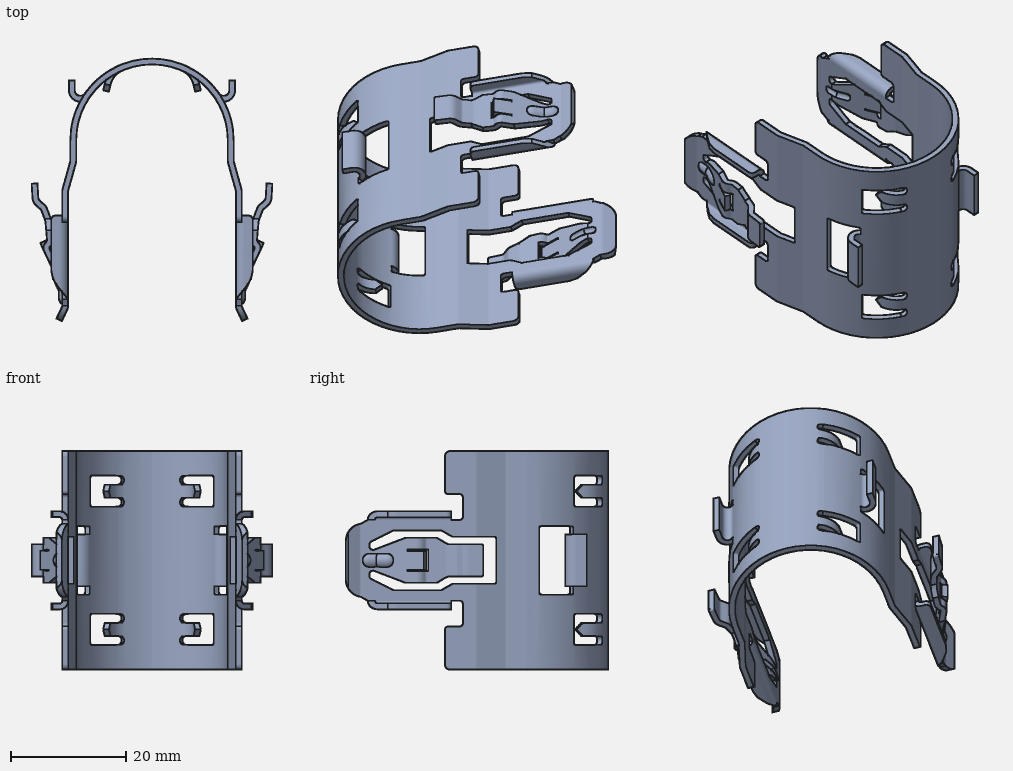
import cadquery as cq
import math


SHEET = 1.05
BACK_OUTER_R = 14.2
BACK_INNER_R = BACK_OUTER_R - SHEET
BACK_MID_R = BACK_OUTER_R - SHEET / 2
HEIGHT = 38.0
TOTAL_DEPTH = 45.61
FRONT_END = BACK_OUTER_R - TOTAL_DEPTH
REACH = 30.0
OVERLAP = 0.5

WALL_X = 15.095
STEP_START = -3.7
STEP_END = -8.8
STEP_BEND_R = 0.8
LIP_START = -29.0
LIP_ANGLE = math.radians(25)
LIP_BEND_R = 1.0

WING_END = -14.2
WING_CORNER_R = 0.95
NOTCH_BOTTOM = -11.06
NOTCH_TOP_Z = 11.48
NOTCH_CORNER_R = 0.6
LEG_HALF = 7.025
LEG_TAPER_START = -27.6
LIP_TIP_HALF = 3.3
LIP_CORNER_Y = -28.78
LIP_CORNER_Z = 6.37
LIP_CORNER_R = 3.1

FLANGE_START = -13.06
FLANGE_EDGE_X = 17.54
FLANGE_BEND_R = 1.0
FLANGE_CORNER_R = 0.8
FLANGE_TAPER_START = -22.55
FLANGE_TAPER_MID = (17.2, -24.1)
FLANGE_TAPER_END = (16.1, -25.75)

SLOT_BACK = -5.3
SLOT_NARROW_HALF = 4.06
SLOT_WIDE_HALF = 5.17
SLOT_CORNER_R = 0.25
SLOT_WIDENING = (-12.85, -14.8)
SLOT_TAPER_START = -23.1
SLOT_FRONT = -27.25
SLOT_FRONT_OUTER_Z = 3.1
SLOT_FRONT_INNER_Z = 1.95
SLOT_FRONT_R = 0.5
ROOT_Y = -26.6
ROOT_HALF = 1.8
TONGUE_ANGLE = math.radians(25)
TONGUE_VERTEX = -25.86
TONGUE_BEND_R = 3.9
TONGUE_HALF = 3.94
TONGUE_WIDE = (-21.0, -15.6)
HANDLE_HALF = 2.83
SHOULDER = (-14.2, 3.1)
HANDLE_START = -13.6
HANDLE_END_Y = -7.5
HANDLE_END_X = 20.4
HANDLE_CORNER_R = 0.4
CREST_Y = -18.6
CREST_BEND_R = 0.9
STEP_BACK = (17.7, -17.65)
STEP_BACK_BEND_R = 1.2
HANDLE_LEAN = (18.02, -13.9)
HANDLE_LEAN_BEND_R = 2.0
HANDLE_KINK = (18.8, -11.8)
HANDLE_KINK_BEND_R = 1.2
HANDLE_TOP = (20.22, -10.55)
HANDLE_TOP_BEND_R = 1.4
BARB_END = -17.63
BARB_HALF = 1.85
BARB_SLIT_END = -20.7
BARB_SLIT = 0.2
BARB_WINDOW_END = -17.1

BEAD_HALF = 1.17
BEAD_HEIGHT = 0.6
BEAD_OUTER_R = (BEAD_HALF**2 + BEAD_HEIGHT**2) / (2 * BEAD_HEIGHT)
BEAD_RECESS_R = 0.75
BEAD_FRONT = -27.3
BEAD_TONGUE_LENGTH = 2.15

HOOK_WINDOW = (9.0, 35.0)
HOOK_WINDOW_HALF = 5.94
HOOK_HALF = 4.52
HOOK_BEND_R = 1.5
HOOK_END_Y = 10.42
WINDOW_CORNER_R = 0.4

PRONG_Z = 12.0
PRONG_HALF = 1.15
PRONG_WINDOW = (35.6, 65.0)
PRONG_WINDOW_HALF = 2.69
PRONG_NOTCH_R = (PRONG_WINDOW_HALF - PRONG_HALF) / 2
PRONG_BEND_START = 67.0
PRONG_BEND_R = 4.0
PRONG_TURN = 53.0
PRONG_STRAIGHT = 1.38
PRONG_POINT = 1.15
PRONG_LEAD = 0.01


def polar(radius, degrees, center=(0, 0)):
    angle = math.radians(degrees)
    return center[0] + radius * math.cos(angle), center[1] + radius * math.sin(angle)


def along(start, end, distance):
    """Point at a distance from start toward end."""
    share = distance / math.dist(start, end)
    return start[0] + share * (end[0] - start[0]), start[1] + share * (end[1] - start[1])


def beside(point, start, end, offset):
    """Point moved to the left of the direction start -> end."""
    length = math.dist(start, end)
    dx = (end[0] - start[0]) / length
    dy = (end[1] - start[1]) / length
    return point[0] - offset * dy, point[1] + offset * dx


def strip(plane, ends, bends):
    """Sheet section along a mid-line from ends[0] to ends[1]; each bend is (corner, mid radius)."""
    points = [ends[0]] + [corner for corner, _ in bends] + [ends[1]]
    half = SHEET / 2

    def side(offset):
        pieces = [(beside(points[0], points[0], points[1], offset),)]
        for before, (corner, radius), after in zip(points, bends, points[2:]):
            heading_in = math.atan2(corner[1] - before[1], corner[0] - before[0])
            heading_out = math.atan2(after[1] - corner[1], after[0] - corner[0])
            turn = math.remainder(heading_out - heading_in, math.tau)
            tangent = radius * math.tan(abs(turn) / 2)
            enter = along(corner, before, tangent)
            leave = along(corner, after, tangent)
            center = beside(enter, before, corner, math.copysign(radius, turn))
            side_radius = radius - offset * math.copysign(1, turn)
            middle = along(center, corner, side_radius)
            pieces.append((
                beside(enter, before, corner, offset),
                middle,
                beside(leave, corner, after, offset),
            ))
        pieces.append((beside(points[-1], points[-2], points[-1], offset),))
        return pieces

    left = side(half)
    right = [piece[::-1] for piece in reversed(side(-half))]
    sketch = cq.Workplane(plane).moveTo(*left[0][0])
    for piece in left[1:] + right:
        sketch = sketch.lineTo(*piece[0])
        if len(piece) > 1:
            sketch = sketch.threePointArc(piece[1], piece[2])
    return sketch.close()


def symmetric_plate(upper):
    """Prism along X over an outline given by its +Z half, mirrored in Z = 0."""
    lower = [(y, -z) for y, z in reversed(upper)]
    return cq.Workplane("YZ").polyline(upper + lower).close().extrude(REACH)


def block(y_start, y_end, z_start, z_end):
    """Prism along X covering a rectangle in Y and Z."""
    outline = cq.Workplane("YZ").moveTo(y_start, z_start).lineTo(y_end, z_start)
    return outline.lineTo(y_end, z_end).lineTo(y_start, z_end).close().extrude(REACH)


def side_wall():
    lip_run = (LIP_START - FRONT_END) - SHEET / 2 * math.sin(LIP_ANGLE)
    lip_end = (WALL_X + lip_run * math.tan(LIP_ANGLE), LIP_START - lip_run)
    section = strip("XY", ((-OVERLAP, BACK_MID_R), lip_end), [
        ((BACK_MID_R, BACK_MID_R), BACK_MID_R),
        ((BACK_MID_R, STEP_START), STEP_BEND_R),
        ((WALL_X, STEP_END), STEP_BEND_R),
        ((WALL_X, LIP_START), LIP_BEND_R),
    ])
    return section.extrude(HEIGHT / 2, both=True)


def wall_outline():
    """Wings, notches and the rounded leg, as a prism along X."""
    outer = (
        cq.Workplane("YZ")
        .moveTo(BACK_OUTER_R + OVERLAP, HEIGHT / 2)
        .lineTo(WING_END, HEIGHT / 2)
        .lineTo(WING_END, -HEIGHT / 2)
        .lineTo(BACK_OUTER_R + OVERLAP, -HEIGHT / 2)
        .close()
        .extrude(REACH)
    )
    outer = outer.edges("|X and <Y").fillet(WING_CORNER_R)
    for z_low, z_high in ((LEG_HALF, NOTCH_TOP_Z), (-NOTCH_TOP_Z, -LEG_HALF)):
        notch = block(WING_END - OVERLAP, NOTCH_BOTTOM, z_low, z_high)
        outer = outer.cut(notch.edges("|X and >Y").fillet(NOTCH_CORNER_R))
    for z_mouth in (NOTCH_TOP_Z, -NOTCH_TOP_Z):
        mouth = cq.selectors.NearestToPointSelector((REACH / 2, WING_END, z_mouth))
        outer = outer.edges(mouth).fillet(NOTCH_CORNER_R)
    leg = (
        cq.Workplane("YZ")
        .moveTo(NOTCH_BOTTOM, LEG_HALF)
        .lineTo(LEG_TAPER_START, LEG_HALF)
        .lineTo(LIP_CORNER_Y, LIP_CORNER_Z)
        .radiusArc((FRONT_END, LIP_TIP_HALF), -LIP_CORNER_R)
        .lineTo(FRONT_END, -LIP_TIP_HALF)
        .radiusArc((LIP_CORNER_Y, -LIP_CORNER_Z), -LIP_CORNER_R)
        .lineTo(LEG_TAPER_START, -LEG_HALF)
        .lineTo(NOTCH_BOTTOM, -LEG_HALF)
        .close()
        .extrude(REACH)
    )
    return outer.union(leg)


def flange():
    """Edge flange at the +Z side of the leg, tapering toward the lip."""
    flange_z = LEG_HALF + FLANGE_BEND_R
    section = strip("XZ", ((WALL_X, LEG_HALF - OVERLAP), (FLANGE_EDGE_X, flange_z)), [
        ((WALL_X, flange_z), FLANGE_BEND_R),
    ])
    bar = section.extrude(REACH)
    inner_x = WALL_X - SHEET / 2
    trim = (
        cq.Workplane("XY")
        .moveTo(inner_x, FLANGE_START)
        .lineTo(FLANGE_EDGE_X - FLANGE_CORNER_R, FLANGE_START)
        .radiusArc((FLANGE_EDGE_X, FLANGE_START - FLANGE_CORNER_R), FLANGE_CORNER_R)
        .lineTo(FLANGE_EDGE_X, FLANGE_TAPER_START)
        .lineTo(*FLANGE_TAPER_MID)
        .lineTo(*FLANGE_TAPER_END)
        .lineTo(inner_x, LEG_TAPER_START)
        .close()
        .extrude(HEIGHT)
    )
    return bar.intersect(trim)


def tongue_slot():
    """Opening around the tongue, closed by the tongue root."""
    slot = symmetric_plate([
        (SLOT_BACK, SLOT_NARROW_HALF),
        (SLOT_WIDENING[0], SLOT_NARROW_HALF),
        (SLOT_WIDENING[1], SLOT_WIDE_HALF),
        (SLOT_TAPER_START, SLOT_WIDE_HALF),
        (SLOT_FRONT, SLOT_FRONT_OUTER_Z),
        (SLOT_FRONT, SLOT_FRONT_INNER_Z),
        (ROOT_Y, ROOT_HALF),
    ])
    slot = slot.edges("|X and <Y").fillet(SLOT_FRONT_R)
    return slot.edges("|X and >Y").fillet(SLOT_CORNER_R)


def tongue_outline():
    outline = symmetric_plate([
        (ROOT_Y - OVERLAP, ROOT_HALF),
        (ROOT_Y, ROOT_HALF),
        (TONGUE_WIDE[0], TONGUE_HALF),
        (TONGUE_WIDE[1], TONGUE_HALF),
        SHOULDER,
        (HANDLE_START, HANDLE_HALF),
        (HANDLE_END_Y, HANDLE_HALF),
    ])
    return outline.edges("|X and >Y").fillet(HANDLE_CORNER_R)


def on_tongue_slope(y):
    """Mid-plane point of the straight sloping tongue at a given Y."""
    return WALL_X + (y - TONGUE_VERTEX) * math.tan(TONGUE_ANGLE), y


def tongue():
    root = (WALL_X, ROOT_Y - OVERLAP)
    vertex = (WALL_X, TONGUE_VERTEX)
    bent = strip("XY", (root, (HANDLE_END_X, HANDLE_END_Y)), [
        (vertex, TONGUE_BEND_R),
        (on_tongue_slope(CREST_Y), CREST_BEND_R),
        (STEP_BACK, STEP_BACK_BEND_R),
        (HANDLE_LEAN, HANDLE_LEAN_BEND_R),
        (HANDLE_KINK, HANDLE_KINK_BEND_R),
        (HANDLE_TOP, HANDLE_TOP_BEND_R),
    ]).extrude(HEIGHT / 2, both=True)
    bent = bent.intersect(tongue_outline())
    bent = bent.cut(block(BARB_SLIT_END, BARB_WINDOW_END, -BARB_HALF, BARB_HALF))
    barb = strip("XY", (root, on_tongue_slope(BARB_END)), [(vertex, TONGUE_BEND_R)])
    barb = barb.extrude(BARB_HALF - BARB_SLIT, both=True)
    barb = barb.intersect(block(BARB_SLIT_END - OVERLAP, REACH, -BARB_HALF, BARB_HALF))
    return bent.union(barb)


def bead_rod(radius, crest):
    """Round-ended rod following the tongue root, its crest at a height above the outer face."""
    depth = radius - crest
    outer_vertex = TONGUE_VERTEX - SHEET / 2 * math.tan(TONGUE_ANGLE / 2)
    axis_x = WALL_X + SHEET / 2 - depth
    front = cq.Vector(axis_x, BEAD_FRONT, 0)
    corner = cq.Vector(axis_x, outer_vertex + depth * math.tan(TONGUE_ANGLE / 2), 0)
    slope = cq.Vector(math.sin(TONGUE_ANGLE), math.cos(TONGUE_ANGLE), 0)
    rear = corner + slope * BEAD_TONGUE_LENGTH
    rod = cq.Workplane(cq.Solid.makeCylinder(radius, (corner - front).Length, front, cq.Vector(0, 1, 0)))
    rod = rod.union(cq.Workplane(cq.Solid.makeCylinder(radius, BEAD_TONGUE_LENGTH, corner, slope)))
    for point in (front, corner, rear):
        rod = rod.union(cq.Workplane("XY").sphere(radius).translate(point))
    return rod


def add_bead(body):
    """Emboss the bead outward, with a narrower recess a sheet thickness below its crest."""
    outside = (
        cq.Workplane("XY")
        .moveTo(WALL_X, FRONT_END)
        .lineTo(WALL_X, TONGUE_VERTEX)
        .lineTo(*on_tongue_slope(0))
        .lineTo(REACH, FRONT_END)
        .close()
        .extrude(HEIGHT / 2, both=True)
    )
    outer = bead_rod(BEAD_OUTER_R, BEAD_HEIGHT).intersect(outside)
    return body.union(outer).cut(bead_rod(BEAD_RECESS_R, BEAD_HEIGHT - SHEET))


def back_sector(angles, z_center, half_height):
    """Block through the round back between two angles."""
    first, last = angles
    r_in = BACK_INNER_R - OVERLAP
    r_out = BACK_OUTER_R + OVERLAP
    middle = (first + last) / 2
    return (
        cq.Workplane("XY", origin=(0, 0, z_center))
        .moveTo(*polar(r_in, first))
        .lineTo(*polar(r_out, first))
        .threePointArc(polar(r_out, middle), polar(r_out, last))
        .lineTo(*polar(r_in, last))
        .threePointArc(polar(r_in, middle), polar(r_in, first))
        .close()
        .extrude(half_height, both=True)
    )


def rounded_sector(angles, z_center, half_height):
    sector = back_sector(angles, z_center, half_height)
    return sector.faces("<Z or >Z").edges("%LINE").fillet(WINDOW_CORNER_R)


def hook():
    """Outward hook curling back from the edge of its window."""
    start = HOOK_WINDOW[1]
    center = polar(BACK_MID_R + HOOK_BEND_R, start)
    r_in = HOOK_BEND_R - SHEET / 2
    r_out = HOOK_BEND_R + SHEET / 2
    first = start + 180
    middle = (first + 360) / 2
    return (
        cq.Workplane("XY")
        .moveTo(*polar(r_out, first, center))
        .threePointArc(polar(r_out, middle, center), polar(r_out, 360, center))
        .lineTo(center[0] + r_out, HOOK_END_Y)
        .lineTo(center[0] + r_in, HOOK_END_Y)
        .lineTo(*polar(r_in, 360, center))
        .threePointArc(polar(r_in, middle, center), polar(r_in, first, center))
        .close()
        .extrude(HOOK_HALF, both=True)
    )


def prong_window(z_center):
    window = rounded_sector(PRONG_WINDOW, z_center, PRONG_WINDOW_HALF)
    window = window.union(back_sector((PRONG_WINDOW[0], PRONG_BEND_START), z_center, PRONG_HALF))
    direction = cq.Vector(*polar(1, PRONG_WINDOW[1]), 0)
    for side in (-1, 1):
        notch_z = z_center + side * (PRONG_HALF + PRONG_NOTCH_R)
        start = cq.Vector(0, 0, notch_z) + direction * (BACK_INNER_R - OVERLAP)
        notch = cq.Solid.makeCylinder(PRONG_NOTCH_R, SHEET + 2 * OVERLAP, start, direction)
        window = window.union(cq.Workplane(notch))
    return window


def prong(z_center):
    """Pointed prong bent inward from the rounded edge of its window."""
    root = polar(BACK_MID_R, PRONG_BEND_START)
    heading = PRONG_BEND_START - 90
    tangent = PRONG_BEND_R * math.tan(math.radians(PRONG_TURN / 2))
    corner = polar(tangent, heading, root)
    tip = polar(tangent + PRONG_STRAIGHT, heading - PRONG_TURN, corner)
    lead = polar(-PRONG_LEAD, heading, root)
    body = strip("XY", (lead, tip), [(corner, PRONG_BEND_R)]).extrude(PRONG_HALF, both=True)
    forward = cq.Vector(*polar(1, heading - PRONG_TURN), 0)
    across = cq.Vector(*polar(1, heading - PRONG_TURN + 90), 0)
    point = (
        cq.Workplane(cq.Plane(origin=(*tip, 0), xDir=forward, normal=across))
        .polyline([
            (0, 0),
            (-PRONG_POINT, PRONG_HALF),
            (-REACH, PRONG_HALF),
            (-REACH, -PRONG_HALF),
            (-PRONG_POINT, -PRONG_HALF),
        ])
        .close()
        .extrude(REACH, both=True)
    )
    return body.intersect(point).translate((0, 0, z_center))


def half_clip():
    body = side_wall().intersect(wall_outline())
    upper_flange = flange()
    body = body.union(upper_flange).union(upper_flange.mirror("XY"))
    body = body.cut(tongue_slot()).union(tongue())
    body = add_bead(body)
    body = body.cut(rounded_sector(HOOK_WINDOW, 0, HOOK_WINDOW_HALF)).union(hook())
    for z_center in (-PRONG_Z, PRONG_Z):
        body = body.cut(prong_window(z_center)).union(prong(z_center))
    return body


right_half = half_clip()
result = right_half.union(right_half.mirror("YZ"))